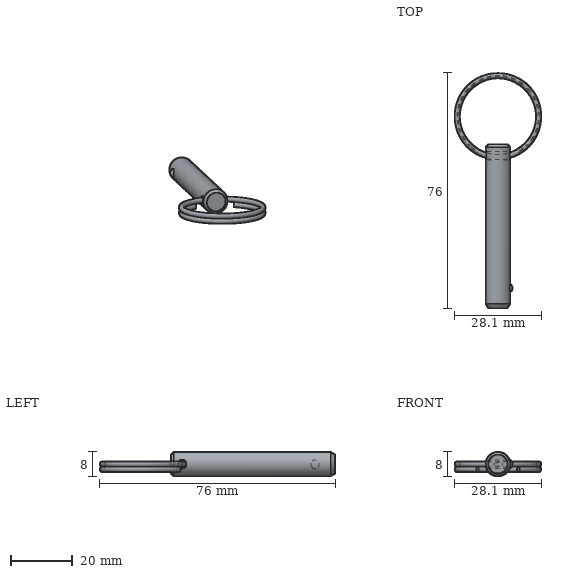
import cadquery as cq

total_length = 76.0
pin_diameter = 8.0
pin_length = 53.05
front_y = -total_length / 2
rear_y = front_y + pin_length
chamfer_width = 0.9
nose_chamfer_length = 1.45
rear_chamfer_length = 1.0

ball_diameter = 3.05
ball_protrusion = 0.75
ball_to_nose = 6.5

hole_diameter = 2.7
hole_to_rear = 3.65

ring_diameter = 28.05
wire_diameter = 1.75
coil_pitch = 1.71
gap_angle = 60
coil_radius = (ring_diameter - wire_diameter) / 2
ring_y = total_length / 2 - ring_diameter / 2


def make_pin():
    radius = pin_diameter / 2
    end_radius = radius - chamfer_width
    profile = [
        (0, front_y),
        (end_radius, front_y),
        (radius, front_y + nose_chamfer_length),
        (radius, rear_y - rear_chamfer_length),
        (end_radius, rear_y),
        (0, rear_y),
    ]
    shaft = cq.Workplane("XY").polyline(profile).close().revolve(360, (0, 0, 0), (0, 1, 0))
    hole = (
        cq.Workplane("YZ")
        .center(rear_y - hole_to_rear, 0)
        .circle(hole_diameter / 2)
        .extrude(pin_diameter, both=True)
    )
    ball_x = radius + ball_protrusion - ball_diameter / 2
    ball = cq.Workplane("XY").sphere(ball_diameter / 2).translate((ball_x, front_y + ball_to_nose, 0))
    return shaft.cut(hole).union(ball)


def make_coil(z, sweep_angle):
    section = cq.Workplane("XZ").center(coil_radius, 0).circle(wire_diameter / 2)
    coil = section.revolve(sweep_angle, (-coil_radius, 0, 0), (-coil_radius, 1, 0))
    start_angle = 90 - sweep_angle / 2
    return coil.rotate((0, 0, 0), (0, 0, 1), start_angle).translate((0, ring_y, z))


def make_ring():
    return make_coil(0, 360).union(make_coil(-coil_pitch, 360 - gap_angle))


result = make_pin().union(make_ring())